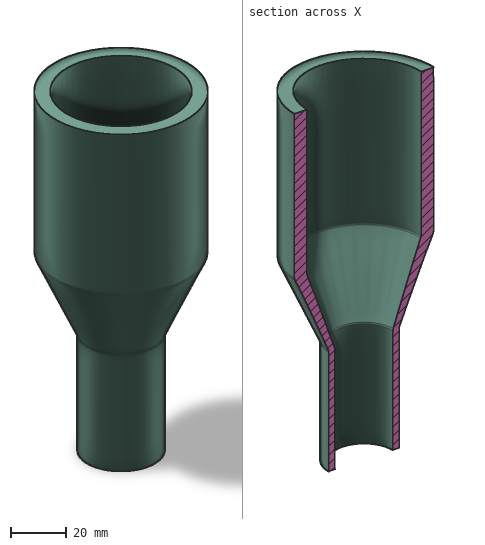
import cadquery as cq

total_length = 150.0
large_diameter = 63.0
small_diameter = 32.0

large_wall = 5.8
small_wall = 3.0

small_tube_length = 49.0
large_tube_length = 67.0
bend_radius = 2.2


def reducer_body(bottom_diameter, top_diameter):
    """Solid of revolution: small tube, cone and large tube, with rounded bends."""
    bottom_radius = bottom_diameter / 2
    top_radius = top_diameter / 2
    cone_top = total_length - large_tube_length
    body = (
        cq.Workplane("XZ")
        .lineTo(bottom_radius, 0)
        .lineTo(bottom_radius, small_tube_length)
        .lineTo(top_radius, cone_top)
        .lineTo(top_radius, total_length)
        .lineTo(0, total_length)
        .close()
        .revolve(360, (0, 0), (0, 1))
    )
    bends = cq.selectors.BoxSelector(
        (-top_radius, -top_radius, small_tube_length / 2),
        (top_radius, top_radius, total_length - large_tube_length / 2),
    )
    return body.edges("%CIRCLE").edges(bends).fillet(bend_radius)


outside = reducer_body(small_diameter, large_diameter)
bore = reducer_body(small_diameter - 2 * small_wall, large_diameter - 2 * large_wall)

result = outside.cut(bore)